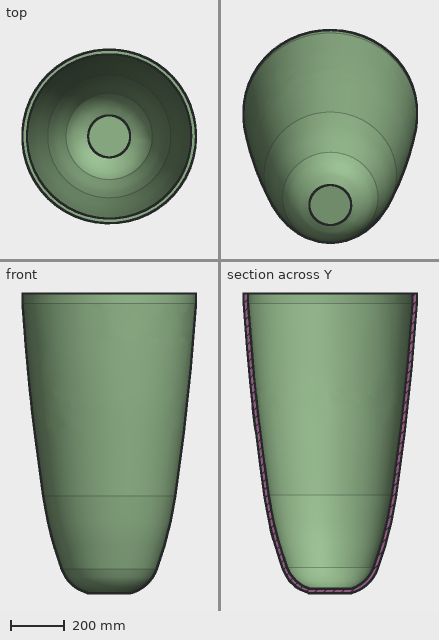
import cadquery as cq
import math

height = 1112.0
rim_diameter = 645.0
opening_diameter = 609.0
rim_height = 37.0
floor_radius = 78.0

rim_radius = rim_diameter / 2
opening_radius = opening_diameter / 2
wall = rim_radius - opening_radius
rim_base = height - rim_height

corner_arc_radius = 145.0
lower_arc_radius = 1373.0
floor_edge_slope = 14.8
corner_end_slope = 69.9
lower_end_slope = 81.6


def inward(slope):
    """Unit direction from the wall toward the inside at the given slope."""
    angle = math.radians(slope)
    return (-math.sin(angle), math.cos(angle))


def shifted(point, direction, distance):
    """Point moved the given distance along a direction."""
    return (point[0] + distance * direction[0], point[1] + distance * direction[1])


def tangent_end_arc(start, start_slope, end):
    """Radius and end slope of the arc leaving start at a slope and meeting end."""
    across = end[0] - start[0]
    rise = end[1] - start[1]
    normal = inward(start_slope)
    radius = (across**2 + rise**2) / (2 * (across * normal[0] + rise * normal[1]))
    end_slope = 2 * math.degrees(math.atan2(rise, across)) - start_slope
    return radius, end_slope


floor_edge = (floor_radius, 0)
corner_center = shifted(floor_edge, inward(floor_edge_slope), corner_arc_radius)
corner_end = shifted(corner_center, inward(corner_end_slope), -corner_arc_radius)
lower_center = shifted(corner_end, inward(corner_end_slope), lower_arc_radius)
lower_end = shifted(lower_center, inward(lower_end_slope), -lower_arc_radius)
rim_corner = (rim_radius, rim_base)
upper_arc_radius, rim_slope = tangent_end_arc(lower_end, lower_end_slope, rim_corner)
upper_center = shifted(lower_end, inward(lower_end_slope), upper_arc_radius)

wall_arcs = [
    (corner_center, corner_arc_radius, floor_edge_slope, corner_end_slope),
    (lower_center, lower_arc_radius, corner_end_slope, lower_end_slope),
    (upper_center, upper_arc_radius, lower_end_slope, rim_slope),
]


def revolved_body(inset, bottom_radius, top_radius):
    """Filled body whose wall lies inset from the outer wall, with a straight rim."""
    profile = cq.Workplane("XZ").moveTo(0, inset).lineTo(bottom_radius, inset)
    for center, radius, start_slope, end_slope in wall_arcs:
        middle_slope = (start_slope + end_slope) / 2
        middle = shifted(center, inward(middle_slope), inset - radius)
        end = shifted(center, inward(end_slope), inset - radius)
        if end_slope == rim_slope:
            end = (top_radius, rim_base)
        profile = profile.threePointArc(middle, end)
    profile = profile.lineTo(top_radius, height).lineTo(0, height).close()
    return profile.revolve(360, (0, 0, 0), (0, 1, 0))


vessel = revolved_body(0, floor_radius, rim_radius)
cavity = revolved_body(wall, floor_radius, opening_radius)
result = vessel.cut(cavity)